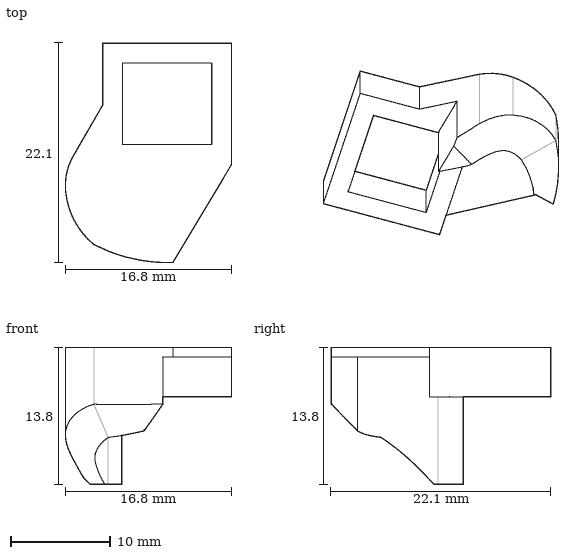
import cadquery as cq

width = 16.75
length = 22.1
height = 13.8
skin_thickness = 1.0
frame_height = 5.0

frame_wall = 2.01
frame_left = 3.75
window_front = 11.9
frame_front = window_front - frame_wall

front_tip = (10.83, 0.0)
front_left_corner = (2.87, 1.81)
slant_start = (0.66, 10.5)
slant_end = (frame_left, 15.87)
left_side = (0.02, 7.18)
lower_left_bulge = (0.69, 4.69)
upper_left_bulge = (0.1, 8.9)
front_bulge = (6.63, 0.42)

skirt_front_outer = (9.81, 0.05)
skirt_front_inner = (7.93, 2.65)
skirt_inner_curve = [(3.87, 5.52), (2.98, 7.62), (3.27, 9.0), (4.29, 10.76)]
skirt_back_inner = (5.7, 13.3)
skirt_back_outer = (1.81, 12.5)

slope_overrun = 0.2
front_slope = [
    ((12.15, 0.22, -5.72), (10.17, 2.43, -8.18)),
    ((*skirt_front_outer, -5.72), (*skirt_front_inner, -8.4)),
    ((*front_left_corner, -5.72), (4.3, 4.97, -9.04)),
]
side_slope = [
    front_slope[-1],
    ((*left_side, -8.45), (3.0, 7.85, -11.23)),
    ((*slant_start, -11.05), (4.13, 10.55, -14.05)),
    ((*skirt_back_outer, -13.13), (5.3, 12.6, -16.13)),
    ((2.65, 13.92, -14.59), (6.19, 14.03, -17.64)),
]


def outline():
    """Plan outline of the whole part."""
    return (
        cq.Workplane("XY")
        .moveTo(frame_left, length)
        .lineTo(width, length)
        .lineTo(width, frame_front)
        .lineTo(*front_tip)
        .threePointArc(front_bulge, front_left_corner)
        .threePointArc(lower_left_bulge, left_side)
        .threePointArc(upper_left_bulge, slant_start)
        .lineTo(*slant_end)
        .close()
    )


def skirt_region():
    """Plan area of the skirt, overshooting the outline on its outer side."""
    outside = -width
    return (
        cq.Workplane("XY")
        .moveTo(*skirt_front_outer)
        .lineTo(*skirt_front_inner)
        .spline(skirt_inner_curve, includeCurrent=True)
        .lineTo(*skirt_back_inner)
        .lineTo(*skirt_back_outer)
        .lineTo(outside, skirt_back_outer[1])
        .lineTo(outside, outside)
        .lineTo(skirt_front_outer[0], outside)
        .close()
    )


def below_slope(stations):
    """Solid below a ruled surface whose rulings overrun both skirt faces."""
    outer_points = []
    inner_points = []
    for outer, inner in stations:
        outer_point = cq.Vector(*outer)
        inner_point = cq.Vector(*inner)
        overrun = (inner_point - outer_point) * slope_overrun
        outer_points.append(outer_point - overrun)
        inner_points.append(inner_point + overrun)
    surface = cq.Face.makeRuledSurface(
        cq.Edge.makeSpline(outer_points), cq.Edge.makeSpline(inner_points)
    )
    return cq.Workplane(cq.Solid.extrudeLinear(surface, cq.Vector(0, 0, -height)))


def make_skirt():
    skirt = outline().extrude(-height).intersect(skirt_region().extrude(-height))
    for stations in (front_slope, side_slope):
        skirt = skirt.cut(below_slope(stations))
    return skirt


def make_frame():
    """Thick rear block within the outline, behind the skirt hollow."""
    block = cq.Workplane("XY").box(
        width, length - frame_front, frame_height, centered=False
    )
    block = block.translate((0, frame_front, -frame_height))
    return outline().extrude(-frame_height).intersect(block)


def make_window():
    window_width = width - frame_left - 2 * frame_wall
    window_length = length - frame_wall - window_front
    return (
        cq.Workplane("XY")
        .box(window_width, window_length, height, centered=False)
        .translate((frame_left + frame_wall, window_front, -height))
    )


skin = outline().extrude(-skin_thickness)
frame = make_frame().cut(make_window())
result = skin.cut(make_window()).union(make_skirt()).union(frame).clean()